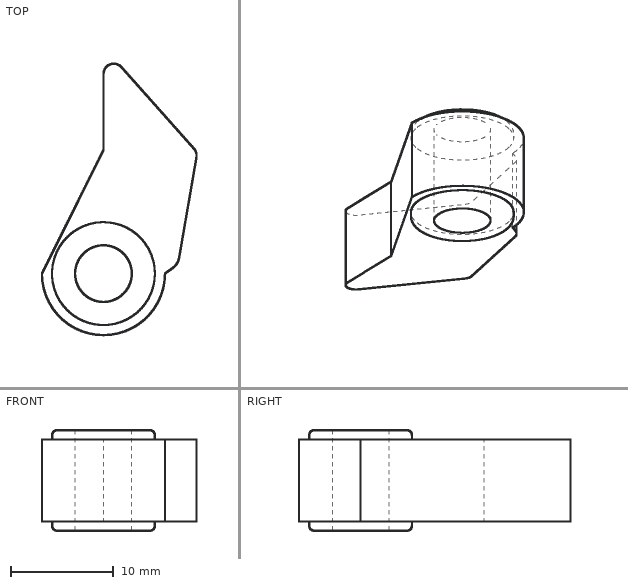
import cadquery as cq

body_height = 8.0
hub_radius = 6.0
neck_y = 12.0
apex_y = 22.03
shoulder = (9.13, 11.77)
heel = (7.25, 0.92)
corner_radius = 1.0
heel_radius = 1.58

bushing_diameter = 10.0
bushing_height = 9.8
bushing_edge_radius = 0.5
bore_diameter = 5.5


def round_corner(body, corner, radius):
    """Round the vertical edge standing at the given corner."""
    edge = body.edges("|Z").edges(cq.NearestToPointSelector((*corner, 0)))
    return edge.fillet(radius)


def make_body():
    apex = (0, apex_y)
    body = (
        cq.Workplane("XY")
        .moveTo(-hub_radius, 0)
        .lineTo(0, neck_y)
        .lineTo(*apex)
        .lineTo(*shoulder)
        .lineTo(*heel)
        .lineTo(hub_radius, 0)
        .threePointArc((0, -hub_radius), (-hub_radius, 0))
        .close()
        .extrude(body_height / 2, both=True)
    )
    body = round_corner(body, apex, corner_radius)
    body = round_corner(body, shoulder, corner_radius)
    return round_corner(body, heel, heel_radius)


def make_bushing():
    return (
        cq.Workplane("XY")
        .circle(bushing_diameter / 2)
        .extrude(bushing_height / 2, both=True)
        .faces("|Z")
        .edges()
        .fillet(bushing_edge_radius)
    )


bore = cq.Workplane("XY").circle(bore_diameter / 2).extrude(bushing_height, both=True)

result = make_body().union(make_bushing()).cut(bore)